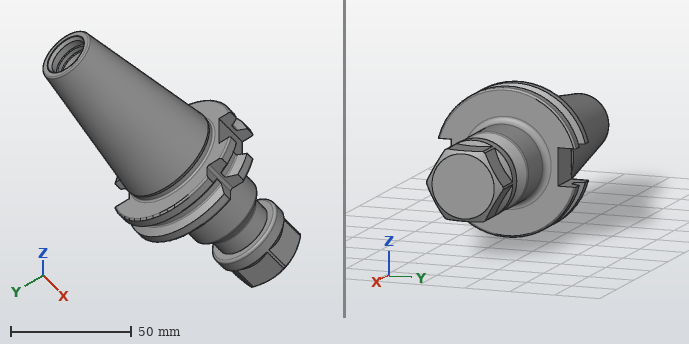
import cadquery as cq
import math

TOTAL_LENGTH = 138.2

TAPER_LENGTH = 67.5
TAPER_RATE = 7 / 24
GAUGE_RADIUS = 22.3
TAPER_END_RADIUS = GAUGE_RADIUS - TAPER_LENGTH * TAPER_RATE / 2
TAPER_END_FILLET = 0.7

RELIEF_RADIUS = 21.8
RELIEF_START = 68.7
RELIEF_FILLET = 0.8

FLANGE_START = 71.5
FLANGE_END = 87.2
FLANGE_DIAMETER = 63.5
FLANGE_RADIUS = FLANGE_DIAMETER / 2
FLANGE_FILLET = 0.8
GROOVE_CENTER = 79.4
GROOVE_MOUTH_WIDTH = 7.0
GROOVE_FLOOR_WIDTH = 3.0
GROOVE_FLOOR_RADIUS = 27.8
GROOVE_FILLET = 0.7

SLOT_WIDTH = 16.3
SLOT_FLOOR_FRONT = 24.7
SLOT_FLOOR_BACK = 22.8
NOTCH_OFFSET = 18.5
NOTCH_FILLET = 1.2

BODY_RADIUS = 17.0
BODY_END = 106.9
BODY_FILLET = 2.8
SHOULDER_FILLET = 1.2
NECK_RADIUS = 12.7
NECK_START = BODY_END + BODY_RADIUS - NECK_RADIUS
NECK_END = 119.2

BORE_MOUTH_RADIUS = 9.8
COUNTERSINK_RADIUS = 9.5
COUNTERSINK_START = 0.1
COUNTERSINK_END = 1.7
PILOT_RADIUS = 8.6
PILOT_END = 4.7
THREAD_RADIUS = 8.2
THREAD_END = 7.0
STEP_CHAMFER = 0.4
CORE_RADIUS = 6.9
CORE_START = 9.5
CORE_END = 33.2
DRILL_POINT_HALF_ANGLE = 59

NUT_RADIUS = BODY_RADIUS
NUT_BACK_FILLET = 1.2
COLLAR_END = 125.0
COLLAR_CONE_LENGTH = 2.2
NUT_ACROSS_FLATS = 30.0
NUT_TIP_RADIUS = 13.8
NUT_TIP_CHAMFER_LENGTH = 2.1


def revolve_about_x(outline):
    """Close an outline of (x, radius) points and turn it round the X axis."""
    return outline.close().revolve(360, (0, 0, 0), (1, 0, 0))


def groove_cutter():
    """Trapezoidal ring with rounded floor corners."""
    half_mouth = GROOVE_MOUTH_WIDTH / 2
    half_floor = GROOVE_FLOOR_WIDTH / 2
    ring = revolve_about_x(
        cq.Workplane("XY")
        .moveTo(GROOVE_CENTER - half_mouth, FLANGE_RADIUS)
        .lineTo(GROOVE_CENTER - half_floor, GROOVE_FLOOR_RADIUS)
        .lineTo(GROOVE_CENTER + half_floor, GROOVE_FLOOR_RADIUS)
        .lineTo(GROOVE_CENTER + half_mouth, FLANGE_RADIUS)
    )
    floor_edges = cq.selectors.RadiusNthSelector(0)
    return ring.edges("%CIRCLE").edges(floor_edges).fillet(GROOVE_FILLET)


def bore_cutter():
    """Countersink, pilot, thread relief and core hole with a drill point."""
    point_depth = CORE_RADIUS / math.tan(math.radians(DRILL_POINT_HALF_ANGLE))
    return revolve_about_x(
        cq.Workplane("XY")
        .moveTo(0, 0)
        .lineTo(0, BORE_MOUTH_RADIUS)
        .lineTo(COUNTERSINK_START, COUNTERSINK_RADIUS)
        .lineTo(COUNTERSINK_END, PILOT_RADIUS)
        .lineTo(PILOT_END, PILOT_RADIUS)
        .lineTo(PILOT_END + STEP_CHAMFER, THREAD_RADIUS)
        .lineTo(THREAD_END, THREAD_RADIUS)
        .lineTo(THREAD_END + STEP_CHAMFER, THREAD_RADIUS - STEP_CHAMFER)
        .lineTo(CORE_START, CORE_RADIUS)
        .lineTo(CORE_END, CORE_RADIUS)
        .lineTo(CORE_END + point_depth, 0)
    )


def flange_fillet(face_x, radius, size):
    """Concave ring against a flange face; a negative size puts it on the -X side."""
    return revolve_about_x(
        cq.Workplane("XY")
        .moveTo(face_x, radius)
        .lineTo(face_x, radius + abs(size))
        .radiusArc((face_x + size, radius), -size)
    )


def flange_box(y_min, y_max, z_min, z_max):
    """Block through the whole flange thickness."""
    return cq.Workplane("XY").box(
        FLANGE_END - FLANGE_START, y_max - y_min, z_max - z_min, centered=False
    ).translate((FLANGE_START, y_min, z_min))


def make_holder():
    """Taper shank, flange, body and neck, with the blind bore."""
    shank = revolve_about_x(
        cq.Workplane("XY")
        .moveTo(0, 0)
        .lineTo(0, TAPER_END_RADIUS)
        .lineTo(TAPER_LENGTH, GAUGE_RADIUS)
        .lineTo(RELIEF_START, RELIEF_RADIUS)
        .lineTo(FLANGE_START, RELIEF_RADIUS)
        .lineTo(FLANGE_START, 0)
    ).faces("<X").edges().fillet(TAPER_END_FILLET)

    relief_fillet = flange_fillet(FLANGE_START, RELIEF_RADIUS, -RELIEF_FILLET)

    flange = revolve_about_x(
        cq.Workplane("XY")
        .moveTo(FLANGE_START, 0)
        .lineTo(FLANGE_START, FLANGE_RADIUS)
        .lineTo(FLANGE_END, FLANGE_RADIUS)
        .lineTo(FLANGE_END, 0)
    ).edges("%CIRCLE").fillet(FLANGE_FILLET)
    flange = flange.cut(groove_cutter())

    half_slot = SLOT_WIDTH / 2
    flange = flange.cut(flange_box(-FLANGE_RADIUS, -SLOT_FLOOR_FRONT, -half_slot, half_slot))
    flange = flange.cut(flange_box(SLOT_FLOOR_BACK, FLANGE_RADIUS, -half_slot, half_slot))
    notch = flange_box(-FLANGE_RADIUS, -NOTCH_OFFSET, -FLANGE_RADIUS, -NOTCH_OFFSET)
    flange = flange.cut(notch.edges("|X and >Y and >Z").fillet(NOTCH_FILLET))

    body = revolve_about_x(
        cq.Workplane("XY")
        .moveTo(FLANGE_END, 0)
        .lineTo(FLANGE_END, BODY_RADIUS)
        .lineTo(BODY_END, BODY_RADIUS)
        .lineTo(NECK_START, NECK_RADIUS)
        .lineTo(NECK_END, NECK_RADIUS)
        .lineTo(NECK_END, 0)
    )
    shoulder = cq.selectors.BoxSelector(
        (BODY_END - SHOULDER_FILLET, -BODY_RADIUS, -BODY_RADIUS),
        (NECK_START + SHOULDER_FILLET, BODY_RADIUS, BODY_RADIUS),
    )
    body = body.edges("%CIRCLE").edges(shoulder).fillet(SHOULDER_FILLET)
    body_fillet = flange_fillet(FLANGE_END, BODY_RADIUS, BODY_FILLET)
    return shank.union(relief_fillet).union(flange).union(body).union(body_fillet).cut(bore_cutter())


def make_nut():
    """Clamping nut seated on the end of the neck: round collar, then a hexagon with truncated corners."""
    flat = NUT_ACROSS_FLATS / 2
    turned = revolve_about_x(
        cq.Workplane("XY")
        .moveTo(NECK_END, 0)
        .lineTo(NECK_END, NUT_RADIUS)
        .lineTo(TOTAL_LENGTH - NUT_TIP_CHAMFER_LENGTH, NUT_RADIUS)
        .lineTo(TOTAL_LENGTH, NUT_TIP_RADIUS)
        .lineTo(TOTAL_LENGTH, 0)
    ).faces("<X").edges().fillet(NUT_BACK_FILLET)
    collar = revolve_about_x(
        cq.Workplane("XY")
        .moveTo(NECK_END, 0)
        .lineTo(NECK_END, NUT_RADIUS)
        .lineTo(COLLAR_END, NUT_RADIUS)
        .lineTo(COLLAR_END + COLLAR_CONE_LENGTH, flat)
        .lineTo(COLLAR_END + COLLAR_CONE_LENGTH, 0)
    )
    hexagon = (
        cq.Workplane("YZ")
        .workplane(offset=NECK_END)
        .polygon(6, NUT_ACROSS_FLATS / math.cos(math.pi / 6))
        .extrude(TOTAL_LENGTH - NECK_END)
    )
    return turned.intersect(collar.union(hexagon))


holder = make_holder()
nut = make_nut()
result = cq.Compound.makeCompound([holder.val(), nut.val()])